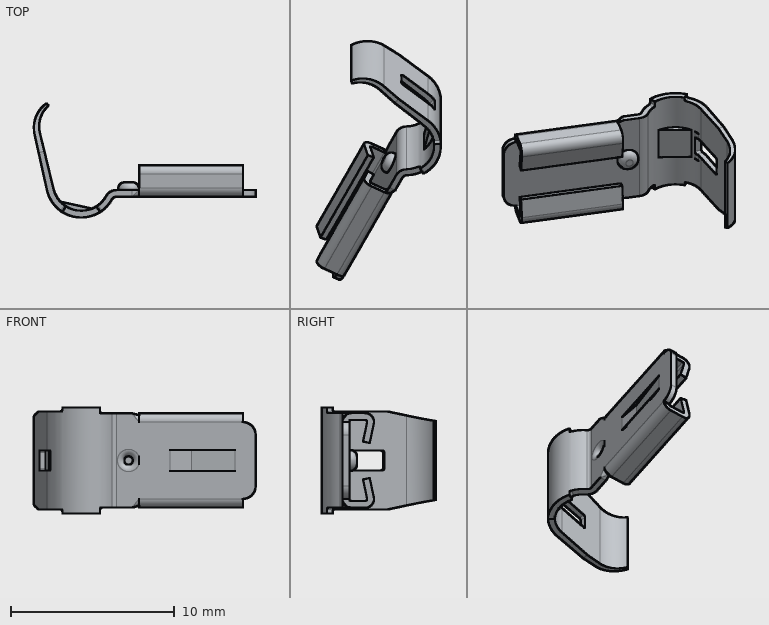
import cadquery as cq
import math


sheet = 0.42
strip_half_width = 2.885
flat_start_x = -1.39
edge_rounding_x = -0.42
edge_break = 0.02

bend_radius = 2.15
bend_depth = 1.27
bend_center = (-3.53, bend_radius - bend_depth)

hook_radius = 1.82
hook_left_x = -6.43
hook_top_y = 5.71
hook_tip_angle = math.radians(55)
hook_root_thickness = 0.35
hook_tip_thickness = 0.19
hook_tip_bevel = math.radians(45)

spring_half_width = 3.0
lug_half_width = 3.24
lug_half_angle = math.radians(32.5)
lug_root_radius = 0.12
spring_edge_slope = 0.21
taper_start_y = 2.70

slot_width = 1.2
slot_top_offset = 0.23
slot_length = 2.72
slot_corner_radius = 0.12

pad_lead = (-5.265, 0.48)
pad_crest = (-4.87, -0.27)
pad_end = (-2.80, -0.73)
pad_half_width = 1.0

dimple_x = -0.64
dimple_crown_radius = 0.42
dimple_flat_radius = 0.23
dimple_floor_radius = 0.26
dimple_floor_y = 0.48

crimp_length = 6.35
crimp_height = 1.93
crimp_corner_radius = 0.53
floor_half_width = strip_half_width - crimp_corner_radius
crimp_lean = math.radians(12)
crimp_flange_length = 1.2
mouth_half_width = 2.77
tab_end_x = 7.13
tab_corner_radius = 0.8

recess_x = (1.89, 3.19, 5.85)
recess_depth = 0.18
recess_width = 1.27

reach = 20.0

hook_center = (hook_left_x + hook_radius, hook_top_y - hook_radius * math.sin(hook_tip_angle))
center_dx = hook_center[0] - bend_center[0]
center_dy = hook_center[1] - bend_center[1]
leg_angle = math.atan2(-center_dx, center_dy) - math.asin(
    (bend_radius - hook_radius) / math.hypot(center_dx, center_dy)
)
leg_inward = (math.cos(leg_angle), math.sin(leg_angle))
leg_upward = (-math.sin(leg_angle), math.cos(leg_angle))

center_run = flat_start_x - bend_center[0]
center_span = (center_run**2 + bend_depth**2) / (2 * bend_depth)
reverse_radius = center_span - bend_radius
reverse_center = (flat_start_x, -reverse_radius)
reverse_angle = math.asin(center_run / center_span)


def polar(center, radius, angle):
    """Point at an angle (radians, counter-clockwise from +X) on a circle in the XY plane."""
    return (center[0] + radius * math.cos(angle), center[1] + radius * math.sin(angle))


def prism(outline, half_width):
    """Extrude a closed XY outline symmetrically about Z = 0."""
    return outline.extrude(half_width, both=True)


def spring_strip():
    """The bent strip at full width, from the hook tip to the start of the edge rounding."""
    leg_side = math.pi + leg_angle
    bend_end = reverse_angle - math.pi / 2
    bend_middle = (leg_side + 2 * math.pi + bend_end) / 2
    reverse_end = math.pi / 2 + reverse_angle
    reverse_middle = (math.pi / 2 + reverse_end) / 2
    tip_side = math.pi - hook_tip_angle
    hook_middle = (leg_side + tip_side) / 2
    bend_inner = bend_radius - sheet
    reverse_outer = reverse_radius + sheet

    tip = polar(hook_center, hook_radius, tip_side)
    tip_inner = polar(tip, hook_tip_thickness, -hook_tip_bevel)
    outline = (
        cq.Workplane("XY")
        .moveTo(*tip)
        .threePointArc(
            polar(hook_center, hook_radius, hook_middle), polar(hook_center, hook_radius, leg_side)
        )
        .lineTo(*polar(bend_center, bend_radius, leg_side))
        .threePointArc(
            polar(bend_center, bend_radius, bend_middle), polar(bend_center, bend_radius, bend_end)
        )
        .threePointArc(polar(reverse_center, reverse_radius, reverse_middle), (flat_start_x, 0))
        .lineTo(edge_rounding_x, 0)
        .lineTo(edge_rounding_x, sheet)
        .lineTo(flat_start_x, sheet)
        .threePointArc(
            polar(reverse_center, reverse_outer, reverse_middle),
            polar(reverse_center, reverse_outer, reverse_end),
        )
        .threePointArc(
            polar(bend_center, bend_inner, bend_middle), polar(bend_center, bend_inner, leg_side)
        )
        .lineTo(*polar(hook_center, hook_radius - hook_root_thickness, leg_side))
        .tangentArcPoint(tip_inner, relative=False)
        .close()
    )
    return prism(outline, lug_half_width)


def width_envelope():
    """Volume that limits the strip width: spring side, strip side and the wider lugs between."""
    spring_side = cq.Workplane("XY").box(reach, 2 * reach, 2 * spring_half_width)
    spring_side = spring_side.translate((bend_center[0] - reach / 2, 0, 0))
    strip_side = cq.Workplane("XY").box(reach, 2 * reach, 2 * strip_half_width)
    strip_side = strip_side.translate((bend_center[0] + reach / 2, 0, 0))

    down = -math.pi / 2
    wedge = cq.Workplane("XY").polyline(
        [
            bend_center,
            polar(bend_center, reach / 4, down - lug_half_angle),
            polar(bend_center, reach / 4, down + lug_half_angle),
        ]
    )
    envelope = spring_side.union(strip_side).union(prism(wedge.close(), lug_half_width))
    for side, half_width in ((-1, spring_half_width), (1, strip_half_width)):
        envelope = envelope.union(lug_root_fillets(side, half_width))
    return envelope


def lug_root_fillets(side, half_width):
    """Concave fillets between one radial lug edge and the strip edge, at both ends of Z."""
    angle = -math.pi / 2 + side * lug_half_angle
    ray = cq.Vector(*polar((0, 0), 1, angle))
    away = cq.Vector(*polar((0, 0), side, angle + math.pi / 2))
    root = cq.Plane(origin=(*bend_center, 0), xDir=away, normal=ray)
    bulge = lug_root_radius * (1 - math.sqrt(0.5))
    fillet = (
        cq.Workplane(root)
        .moveTo(0, -side * half_width)
        .lineTo(lug_root_radius, -side * half_width)
        .threePointArc((bulge, -side * (half_width + bulge)), (0, -side * (half_width + lug_root_radius)))
        .close()
        .extrude(reach / 4)
    )
    return fillet.union(fillet.mirror("XY"))


def leg_plane():
    """Plane on the outer face of the leg: x up the leg, y along the width, normal outward."""
    start = polar(bend_center, bend_radius, math.pi + leg_angle)
    along = (taper_start_y - start[1]) / leg_upward[1]
    origin = (start[0] + along * leg_upward[0], taper_start_y, 0)
    return cq.Plane(origin=origin, xDir=(*leg_upward, 0), normal=(-leg_inward[0], -leg_inward[1], 0))


def hook_side_cuts():
    """Material removed so both edges converge toward the hook tip."""
    run = reach / 4
    edge = (
        cq.Workplane(leg_plane())
        .polyline(
            [
                (0, spring_half_width),
                (run, spring_half_width - spring_edge_slope * run),
                (run, 2 * spring_half_width),
                (0, 2 * spring_half_width),
            ]
        )
        .close()
        .extrude(reach / 4, both=True)
    )
    return edge.union(edge.mirror("XY"))


def slot():
    """Rounded rectangular slot cut square through the leg."""
    return (
        cq.Workplane(leg_plane())
        .center(-slot_top_offset - slot_length / 2, 0)
        .rect(slot_length, slot_width)
        .extrude(2 * sheet, both=True)
        .edges(cq.selectors.ParallelDirSelector(cq.Vector(*leg_inward, 0)))
        .fillet(slot_corner_radius)
    )


def bend_pad():
    """Flat-topped pad on the inside of the main bend, rooted at half the sheet thickness."""
    root_radius = bend_radius - sheet / 2
    lead_angle = math.atan2(pad_lead[1] - bend_center[1], pad_lead[0] - bend_center[0])
    end_angle = math.atan2(pad_end[1] - bend_center[1], pad_end[0] - bend_center[0])
    outline = (
        cq.Workplane("XY")
        .polyline([pad_lead, pad_crest, pad_end, polar(bend_center, root_radius, end_angle)])
        .threePointArc(
            polar(bend_center, root_radius, -math.pi / 2), polar(bend_center, root_radius, lead_angle)
        )
        .close()
    )
    return prism(outline, pad_half_width)


def edge_rounding():
    """Short piece of strip whose outer corners round off toward the barrel mouth."""

    def section(half_width, flat_half_width, corner_height):
        bulge = math.sqrt(0.5)
        arc_z = flat_half_width + (half_width - flat_half_width) * bulge
        arc_y = corner_height * (1 - bulge)
        return (
            cq.Workplane("YZ")
            .moveTo(0, -flat_half_width)
            .lineTo(0, flat_half_width)
            .threePointArc((arc_y, arc_z), (corner_height, half_width))
            .lineTo(sheet, half_width)
            .lineTo(sheet, -half_width)
            .lineTo(corner_height, -half_width)
            .threePointArc((arc_y, -arc_z), (0, -flat_half_width))
            .close()
            .wires()
            .val()
        )

    near_flat = strip_half_width - edge_break
    near = section(strip_half_width, near_flat, edge_break)
    far = section(mouth_half_width, floor_half_width, sheet - edge_break)
    near = near.translate(cq.Vector(edge_rounding_x, 0, 0))
    return cq.Workplane(cq.Solid.makeLoft([near, far], True))


def dimple_boss():
    """Domed boss on the inner face of the strip."""
    top = dimple_floor_y + dimple_crown_radius
    outer = dimple_flat_radius + dimple_crown_radius
    turn = dimple_crown_radius * math.sqrt(0.5)
    return (
        cq.Workplane("XY", origin=(dimple_x, 0, 0))
        .moveTo(0, sheet / 2)
        .lineTo(outer, sheet / 2)
        .lineTo(outer, dimple_floor_y)
        .threePointArc((dimple_flat_radius + turn, dimple_floor_y + turn), (dimple_flat_radius, top))
        .lineTo(0, top)
        .close()
        .revolve(360, (0, 0, 0), (0, 1, 0))
    )


def dimple_hollow():
    """Funnel-shaped hollow behind the boss, rolled over at the outer face."""
    turn = dimple_crown_radius * (1 - math.sqrt(0.5))
    mouth = dimple_floor_radius + dimple_crown_radius
    return (
        cq.Workplane("XY", origin=(dimple_x, 0, 0))
        .lineTo(mouth, 0)
        .threePointArc(
            (dimple_floor_radius + turn, turn), (dimple_floor_radius, dimple_crown_radius)
        )
        .lineTo(dimple_floor_radius, dimple_floor_y)
        .lineTo(0, dimple_floor_y)
        .close()
        .revolve(360, (0, 0, 0), (0, 1, 0))
    )


def crimp_wall():
    """One side of the barrel: rounded corner, upright wall and a flange leaning back in."""
    inner_radius = crimp_corner_radius - sheet
    low = (crimp_corner_radius, floor_half_width)
    high = (crimp_height - crimp_corner_radius, floor_half_width)
    curl_end = -crimp_lean
    curl_middle = (math.pi / 2 + curl_end) / 2
    run = (-crimp_flange_length * math.sin(crimp_lean), -crimp_flange_length * math.cos(crimp_lean))
    outer_end = polar(high, crimp_corner_radius, curl_end)
    inner_end = polar(high, inner_radius, curl_end)
    low_middle = 3 * math.pi / 4
    return (
        cq.Workplane("YZ")
        .moveTo(0, floor_half_width)
        .threePointArc(polar(low, crimp_corner_radius, low_middle), (low[0], strip_half_width))
        .lineTo(high[0], strip_half_width)
        .threePointArc(polar(high, crimp_corner_radius, curl_middle), outer_end)
        .line(*run)
        .lineTo(inner_end[0] + run[0], inner_end[1] + run[1])
        .lineTo(*inner_end)
        .threePointArc(polar(high, inner_radius, curl_middle), (high[0], floor_half_width + inner_radius))
        .lineTo(low[0], floor_half_width + inner_radius)
        .threePointArc(polar(low, inner_radius, low_middle), (sheet, floor_half_width))
        .close()
        .extrude(crimp_length)
    )


def crimp_barrel():
    """Barrel floor with its rounded end tab, the two curled walls and the outer recess."""
    floor = (
        cq.Workplane("XY")
        .box(tab_end_x, sheet, 2 * floor_half_width, centered=(False, False, True))
        .edges("|Y and >X")
        .fillet(tab_corner_radius)
    )
    start, deepest, end = recess_x
    recess = cq.Workplane("XY").polyline([(start, 0), (deepest, recess_depth), (end, 0)]).close()
    wall = crimp_wall()
    barrel = floor.union(wall).union(wall.mirror("XY"))
    return barrel.cut(prism(recess, recess_width / 2))


spring = spring_strip().intersect(width_envelope()).cut(hook_side_cuts())
spring = spring.union(bend_pad()).cut(slot())
strip = spring.union(edge_rounding()).union(dimple_boss()).cut(dimple_hollow())
result = strip.union(crimp_barrel())